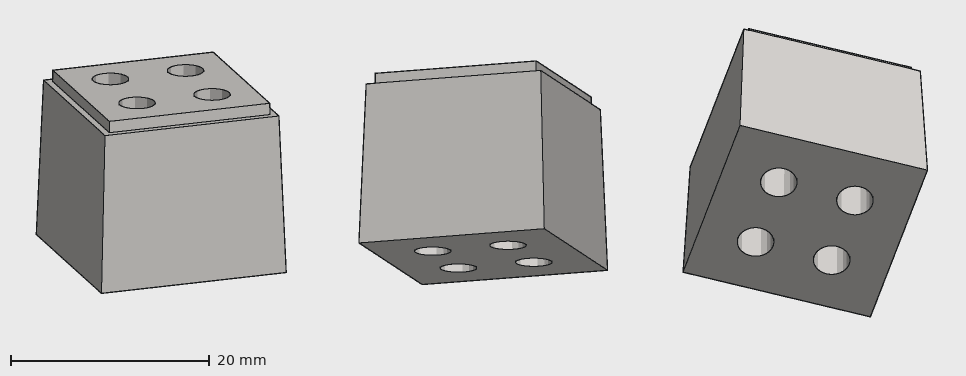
import cadquery as cq
import math

base_side = 19.71
body_height = 16.5
draft_angle = 2.0
body_top_side = base_side - 2 * body_height * math.tan(math.radians(draft_angle))

step_side = 17.11
step_height = 1.2

hole_diameter = 3.67
hole_spacing = 8.0
holes_per_side = 2


def make_body():
    """Square block narrowing from the base to the shoulder."""
    return (
        cq.Workplane("XY")
        .rect(base_side, base_side)
        .workplane(offset=body_height)
        .rect(body_top_side, body_top_side)
        .loft(ruled=True)
    )


def make_step():
    """Straight-sided square plate on the shoulder."""
    return (
        cq.Workplane("XY")
        .workplane(offset=body_height)
        .rect(step_side, step_side)
        .extrude(step_height)
    )


def make_holes():
    """Vertical holes running the full height of the part."""
    return (
        cq.Workplane("XY")
        .rarray(hole_spacing, hole_spacing, holes_per_side, holes_per_side)
        .circle(hole_diameter / 2)
        .extrude(body_height + step_height)
    )


result = make_body().union(make_step()).cut(make_holes())